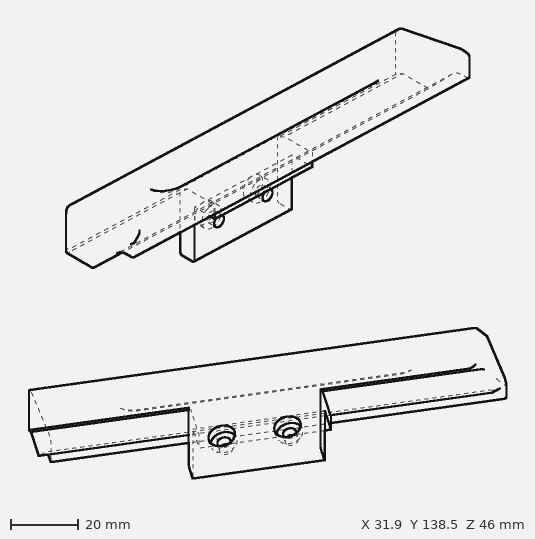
import cadquery as cq
import math

bar_length = 138.5
bar_width = 31.9
peak_height = 46.0
top_slope = 11.4
back_round = 4.0
nose_round = 8.0
nose_peak_x = 28.8
nose_bottom = 37.0
underside_round = 6.9
ramp_start_x = 14.1
bar_bottom = 24.9
lip_bottom = 23.1
lip_width = 3.0

end_chamfer = 3.0
edge_round = 1.0

feature_center_y = 0.7
groove_center_x = 15.1
groove_straight = 80.0
groove_radius = 8.0
groove_rim_round = 4.0
groove_depth = 3.3

tab_width = 40.0
tab_thickness = 6.2
tab_end_round = 1.0
foot_bottom = 20.0
foot_reach = 15.0

hole_diameter = 4.0
counterbore_diameter = 8.0
counterbore_depth = 3.0
hole_spacing = 20.0
hole_height = 10.2

front_y = -bar_length / 2
slope = math.radians(top_slope)
nose_tangent_x = nose_peak_x - nose_round * math.sin(slope)
nose_tangent_z = peak_height - nose_round * (1 - math.cos(slope))


def top_height(x):
    """Height of the flat sloping top at x."""
    return nose_tangent_z - (nose_tangent_x - x) * math.tan(slope)


def make_bar():
    back_tangent_x = back_round * (1 - math.sin(slope))
    back_tangent_z = top_height(back_tangent_x)
    back_center_z = back_tangent_z - back_round * math.cos(slope)
    half_turn = (math.pi / 2 - slope) / 2
    back_mid = (
        back_round * (1 - math.cos(half_turn)),
        back_center_z + back_round * math.sin(half_turn),
    )

    nose_center_z = peak_height - nose_round
    nose_edge_z = nose_center_z + math.sqrt(nose_round**2 - (bar_width - nose_peak_x) ** 2)

    diagonal = math.sqrt(0.5)
    ramp_end_z = nose_bottom - underside_round * (1 - diagonal)
    ramp_end_x = ramp_start_x + ramp_end_z - bar_bottom
    flat_start_x = ramp_end_x + underside_round * diagonal
    underside_mid = (
        flat_start_x - underside_round * math.sin(math.pi / 8),
        nose_bottom - underside_round * (1 - math.cos(math.pi / 8)),
    )

    profile = (
        cq.Workplane("XZ", origin=(0, front_y, 0))
        .moveTo(0, lip_bottom)
        .lineTo(0, back_center_z)
        .threePointArc(back_mid, (back_tangent_x, back_tangent_z))
        .lineTo(nose_tangent_x, nose_tangent_z)
        .threePointArc((nose_peak_x, peak_height), (bar_width, nose_edge_z))
        .lineTo(bar_width, nose_bottom)
        .lineTo(flat_start_x, nose_bottom)
        .threePointArc(underside_mid, (ramp_end_x, ramp_end_z))
        .lineTo(ramp_start_x, bar_bottom)
        .lineTo(lip_width, bar_bottom)
        .close()
    )
    return profile.extrude(-bar_length)


def back_and_top_edges(shape, y):
    """Edges lying at y along the upright back, its rounded corner, the top and the nose crown."""
    margin = 0.1
    back = cq.selectors.BoxSelector(
        (-margin, y - margin, bar_bottom),
        (margin, y + margin, peak_height),
    )
    top = cq.selectors.BoxSelector(
        (margin, y - margin, nose_bottom + margin),
        (bar_width - margin, y + margin, peak_height),
    )
    return shape.edges(back + top)


def finish_end(bar):
    bar = back_and_top_edges(bar, front_y).chamfer(end_chamfer)
    face_edges = bar.faces("<Y").edges().vals()
    chamfer_edges = back_and_top_edges(bar, front_y + end_chamfer).vals()
    lip_edge = bar.edges("not(|X or |Y or |Z)").edges("<Z").edges("<Y").vals()
    nose_edges = bar.edges("|Y and >X").vals()
    return bar.newObject(face_edges + chamfer_edges + lip_edge + nose_edges).fillet(edge_round)


def make_groove():
    """Trough with a convex rim round, cut square to the sloping top, with round ends."""
    combined = groove_radius + groove_rim_round
    blend_angle = math.acos(1 - groove_depth / combined)
    half_width = combined * math.sin(blend_angle)
    trough_center = groove_radius - groove_depth
    headroom = 1.4

    def trough_point(angle):
        return (
            groove_radius * math.sin(angle),
            trough_center - groove_radius * math.cos(angle),
        )

    def rim_point(angle):
        return (
            half_width - groove_rim_round * math.sin(angle),
            groove_rim_round * (math.cos(angle) - 1),
        )

    def half_section(y):
        return (
            cq.Workplane("XZ", origin=(0, y, 0))
            .moveTo(0, -groove_depth)
            .threePointArc(trough_point(blend_angle / 2), trough_point(blend_angle))
            .threePointArc(rim_point(blend_angle / 2), (half_width, 0))
            .lineTo(half_width, headroom)
            .lineTo(0, headroom)
            .close()
        )

    end_y = groove_straight / 2
    half_trough = half_section(end_y).extrude(groove_straight)
    groove = half_trough.union(half_trough.mirror("YZ"))
    for y in (-end_y, end_y):
        groove = groove.union(half_section(y).revolve(360, (0, 0), (0, 1)))
    groove = groove.rotate((0, 0, 0), (0, 1, 0), -top_slope)
    return groove.translate((groove_center_x, feature_center_y, top_height(groove_center_x)))


def make_tab():
    """Upright plate flush with the back, with a foot that reaches under the ramp."""
    overlap_top = bar_bottom + foot_reach - ramp_start_x
    tab_start_y = feature_center_y - tab_width / 2
    plate = cq.Workplane("XY").box(tab_thickness, tab_width, overlap_top, centered=False)
    plate = plate.edges("|Y and <Z").fillet(tab_end_round)
    foot_plane = cq.Workplane("XY", origin=(0, 0, foot_bottom))
    foot = foot_plane.box(foot_reach, tab_width, overlap_top - foot_bottom, centered=False)
    return plate.union(foot).translate((0, tab_start_y, 0))


def make_screw_holes():
    """Through holes counterbored from the back."""
    def drill(diameter, depth):
        return (
            cq.Workplane("YZ", origin=(0, feature_center_y, hole_height))
            .pushPoints([(-hole_spacing / 2, 0), (hole_spacing / 2, 0)])
            .circle(diameter / 2)
            .extrude(depth)
        )

    return drill(hole_diameter, tab_thickness).union(drill(counterbore_diameter, counterbore_depth))


bar = finish_end(make_bar())
result = bar.cut(make_groove()).union(make_tab()).cut(make_screw_holes())